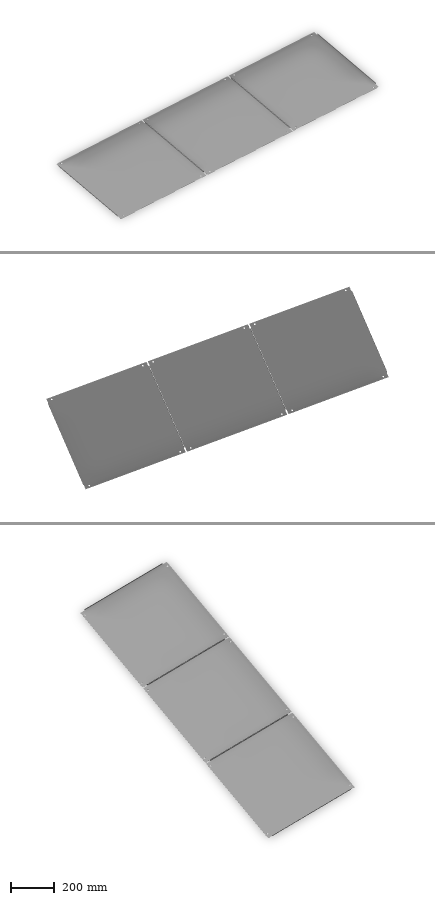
import cadquery as cq

panel_count = 3
row_length = 1498.0
panel_gap = 2.1
panel_length = (row_length - (panel_count - 1) * panel_gap) / panel_count
panel_pitch = panel_length + panel_gap

panel_width = 482.0
sheet_thickness = 1.0
bend_outer_radius = 2.4
bend_inner_radius = bend_outer_radius - sheet_thickness
flange_width = 435.0
flange_height = 8.0

flat_length = panel_length - 2 * bend_outer_radius

hole_diameter = 8.0
hole_spacing_x = 460.0
hole_spacing_y = 450.0


def make_bent_strip():
    """Channel of flange width: bottom, rounded bends and upright flanges."""
    inner_length = panel_length - 2 * sheet_thickness
    outer = (
        cq.Workplane("XY")
        .box(flange_width, panel_length, flange_height, centered=(True, True, False))
        .edges("|X and <Z")
        .fillet(bend_outer_radius)
    )
    inner = (
        cq.Workplane("XY")
        .workplane(offset=sheet_thickness)
        .box(flange_width, inner_length, flange_height, centered=(True, True, False))
        .edges("|X and <Z")
        .fillet(bend_inner_radius)
    )
    return outer.cut(inner)


def make_flat_sheet():
    """Full-width flat bottom of the panel."""
    return cq.Workplane("XY").box(
        panel_width, flat_length, sheet_thickness, centered=(True, True, False)
    )


def make_hole_cutter():
    """Four cylinders at the mounting hole positions."""
    return (
        cq.Workplane("XY")
        .rect(hole_spacing_x, hole_spacing_y, forConstruction=True)
        .vertices()
        .circle(hole_diameter / 2)
        .extrude(sheet_thickness)
    )


def make_panel(center_y):
    """One complete panel, centred at the given Y."""
    panel = make_flat_sheet().union(make_bent_strip()).cut(make_hole_cutter())
    return panel.translate((0, center_y, 0))


first_center_y = -panel_pitch * (panel_count - 1) / 2
panels = [make_panel(first_center_y + index * panel_pitch) for index in range(panel_count)]

result = cq.Compound.makeCompound([panel.val() for panel in panels])